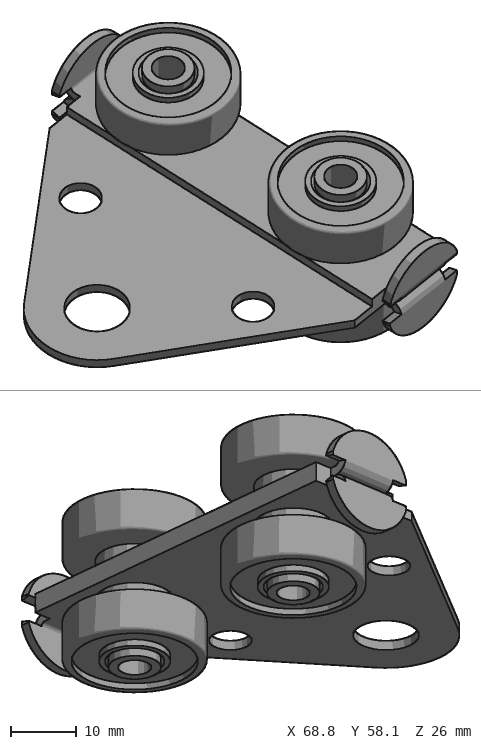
import cadquery as cq
import math

overall_length = 68.8
overall_depth = 58.15
overall_height = 26.0

sheet = 1.6
plate_length = 62.0
strip_width = 16.0
side_edge_drop = 12.0
nose_radius = 11.15

wheel_spacing = 35.0
wheel_diameter = 22.0
wheel_edge_radius = 0.5
spacer_diameter = 12.0
spacer_height = 3.45
hub_diameter = 8.0
hub_projection = 1.0
recess_diameter = 19.2
recess_depth = 1.0
collar_diameter = 10.8
countersink_diameter = 9.0
axle_bore = 5.0

small_hole_diameter = 6.5
small_hole_drop = 20.0
large_hole_diameter = 10.0

tab_diameter = 16.0
neck_width = 10.0
bend_inner_radius = 0.8
shoulder_angle = 16.0

half_length = plate_length / 2
plate_back = strip_width / 2
wheel_x = wheel_spacing / 2
wheel_bottom = sheet + spacer_height
hub_top = overall_height / 2
wheel_top = hub_top - hub_projection
countersink_depth = (countersink_diameter - hub_diameter) / 2
nose_y = wheel_diameter / 2 - overall_depth + nose_radius
bend_outer_radius = bend_inner_radius + sheet
bend_x = overall_length / 2 - bend_outer_radius
bend_z = bend_outer_radius


def disc(diameter, bottom, top):
    """Upright cylinder on the Z axis between two heights."""
    return cq.Workplane("XY").workplane(offset=bottom).circle(diameter / 2).extrude(top - bottom)


def make_upper_plate():
    return cq.Workplane("XY").box(plate_length, strip_width, sheet, centered=(True, True, False))


def make_lower_plate():
    """Triangular plate whose sloping sides run tangent into the round nose."""
    corner_height = -side_edge_drop - nose_y
    corner_distance = math.hypot(half_length, corner_height)
    tangent_angle = math.atan2(corner_height, half_length) - math.acos(nose_radius / corner_distance)
    tangent_x = nose_radius * math.cos(tangent_angle)
    tangent_y = nose_y + nose_radius * math.sin(tangent_angle)
    plate = (
        cq.Workplane("XY")
        .moveTo(-half_length, plate_back)
        .lineTo(half_length, plate_back)
        .lineTo(half_length, -side_edge_drop)
        .lineTo(tangent_x, tangent_y)
        .threePointArc((0, nose_y - nose_radius), (-tangent_x, tangent_y))
        .lineTo(-half_length, -side_edge_drop)
        .close()
        .extrude(-sheet)
    )
    small_holes = (
        cq.Workplane("XY")
        .pushPoints([(-wheel_x, -small_hole_drop), (wheel_x, -small_hole_drop)])
        .circle(small_hole_diameter / 2)
        .extrude(-sheet)
    )
    large_hole = cq.Workplane("XY").center(0, nose_y).circle(large_hole_diameter / 2).extrude(-sheet)
    return plate.cut(small_holes).cut(large_hole)


def make_wheel():
    """Upper spacer and wheel with its hub, centred on the Z axis."""
    wheel = disc(wheel_diameter, wheel_bottom, wheel_top).edges().fillet(wheel_edge_radius)
    recess = disc(recess_diameter, wheel_top - recess_depth, wheel_top)
    recess = recess.cut(disc(collar_diameter, wheel_top - recess_depth, wheel_top))
    countersink = cq.Solid.makeCone(
        hub_diameter / 2,
        countersink_diameter / 2,
        countersink_depth,
        pnt=cq.Vector(0, 0, wheel_top - countersink_depth),
    )
    spacer = disc(spacer_diameter, sheet, wheel_bottom)
    hub = disc(hub_diameter, sheet, hub_top)
    return wheel.cut(recess).cut(countersink).union(spacer).union(hub)


def bend_point(radius, degrees):
    """Point on the bend; 0 degrees is at the tab and 90 degrees at the plate."""
    angle = math.radians(degrees)
    return (bend_x + radius * math.cos(angle), bend_z - radius * math.sin(angle))


def make_bend(end_angle, width):
    """Curved strip of sheet from the tab down to the given bend angle."""
    return (
        cq.Workplane("XZ")
        .moveTo(*bend_point(bend_inner_radius, 0))
        .lineTo(*bend_point(bend_outer_radius, 0))
        .threePointArc(bend_point(bend_outer_radius, end_angle / 2), bend_point(bend_outer_radius, end_angle))
        .lineTo(*bend_point(bend_inner_radius, end_angle))
        .threePointArc(bend_point(bend_inner_radius, end_angle / 2), bend_point(bend_inner_radius, 0))
        .close()
        .extrude(width / 2, both=True)
    )


def make_tab():
    """Upper right tab: flat neck, bend, full-width shoulder and round upright end."""
    neck = cq.Workplane("XY").box(
        bend_x - half_length, neck_width, sheet, centered=(False, True, False)
    ).translate((half_length, 0, 0))
    shoulder_width = 2 * math.sqrt((tab_diameter / 2) ** 2 - bend_z ** 2)
    round_end = cq.Workplane("YZ").workplane(offset=overall_length / 2 - sheet)
    round_end = round_end.circle(tab_diameter / 2).extrude(sheet)
    above_bend = cq.Workplane("XY").workplane(offset=bend_z)
    above_bend = above_bend.rect(overall_length, tab_diameter).extrude(tab_diameter)
    tab = neck.union(make_bend(90, neck_width)).union(make_bend(shoulder_angle, shoulder_width))
    return tab.union(round_end.intersect(above_bend))


wheel = make_wheel()
tab = make_tab()
upper_side = tab.union(tab.mirror("YZ"))
for x in (-wheel_x, wheel_x):
    upper_side = upper_side.union(wheel.translate((x, 0, 0)))

result = make_upper_plate().union(make_lower_plate())
result = result.union(upper_side).union(upper_side.mirror("XY"))
for x in (-wheel_x, wheel_x):
    result = result.cut(disc(axle_bore, -hub_top, hub_top).translate((x, 0, 0)))